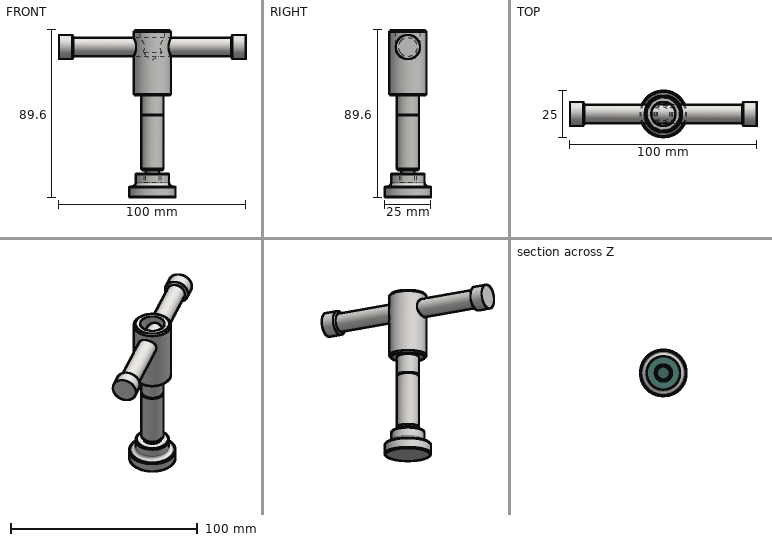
import cadquery as cq
import math

FOOT_RADIUS = 12.5
FOOT_COLLAR_RADIUS = 9.0
FOOT_RIM_HEIGHT = 6.0
FOOT_HEIGHT = 13.0
FOOT_FILLET = 2.0
FOOT_CHAMFER = 0.6

PIVOT_RADIUS = 3.6
PIVOT_DEPTH = 5.0
SOCKET_CLEARANCE = 0.9
FOOT_GAP = 1.5
SHANK_RADIUS = 6.0
SHANK_LENGTH = 40.1
SHANK_CHAMFER = 1.0
NECK_LENGTH = 10.0
GROOVE_WIDTH = 0.6
GROOVE_DEPTH = 0.1
HEAD_RADIUS = 10.0
HEAD_LENGTH = 35.0
HEAD_CHAMFER = 1.0
BORE_RADIUS = 6.5
BORE_DEPTH = 12.0
DRILL_POINT_ANGLE = 118.0

BAR_LENGTH = 100.0
BAR_RADIUS = 5.0
BAR_BELOW_TOP = 9.0
KNOB_RADIUS = 6.5
KNOB_LENGTH = 7.1
KNOB_TAPER_LENGTH = 0.8

shank_bottom = FOOT_HEIGHT + FOOT_GAP
head_bottom = shank_bottom + SHANK_LENGTH
head_top = head_bottom + HEAD_LENGTH
bar_height = head_top - BAR_BELOW_TOP
pivot_bottom = FOOT_HEIGHT - PIVOT_DEPTH


def rod_along_z(radius, bottom, top):
    return cq.Workplane("XY").workplane(offset=bottom).circle(radius).extrude(top - bottom)


def rod_along_x(radius, start, end):
    return (
        cq.Workplane("YZ", origin=(start, 0, bar_height))
        .circle(radius)
        .extrude(end - start)
    )


def make_foot():
    """Pad with a filleted collar and a clearance socket whose floor carries the pivot."""
    profile = (
        cq.Workplane("XZ")
        .lineTo(FOOT_RADIUS - FOOT_CHAMFER, 0)
        .lineTo(FOOT_RADIUS, FOOT_CHAMFER)
        .lineTo(FOOT_RADIUS, FOOT_RIM_HEIGHT - FOOT_CHAMFER)
        .lineTo(FOOT_RADIUS - FOOT_CHAMFER, FOOT_RIM_HEIGHT)
        .lineTo(FOOT_COLLAR_RADIUS + FOOT_FILLET, FOOT_RIM_HEIGHT)
        .radiusArc((FOOT_COLLAR_RADIUS, FOOT_RIM_HEIGHT + FOOT_FILLET), FOOT_FILLET)
        .lineTo(FOOT_COLLAR_RADIUS, FOOT_HEIGHT - FOOT_CHAMFER)
        .lineTo(FOOT_COLLAR_RADIUS - FOOT_CHAMFER, FOOT_HEIGHT)
        .lineTo(0, FOOT_HEIGHT)
        .close()
    )
    pad = profile.revolve(360, (0, 0), (0, 1))
    return pad.cut(rod_along_z(PIVOT_RADIUS + SOCKET_CLEARANCE, pivot_bottom, FOOT_HEIGHT))


def make_head_bore():
    """Blind bore from the top of the head, ending in a drill point."""
    bore_bottom = head_top - BORE_DEPTH
    point_depth = BORE_RADIUS / math.tan(math.radians(DRILL_POINT_ANGLE / 2))
    return (
        cq.Workplane("XZ")
        .moveTo(0, head_top)
        .lineTo(BORE_RADIUS, head_top)
        .lineTo(BORE_RADIUS, bore_bottom)
        .lineTo(0, bore_bottom - point_depth)
        .close()
        .revolve(360, (0, 0), (0, 1))
    )


def make_shank_groove():
    """Shallow ring that separates the plain neck from the rest of the shank."""
    groove_top = head_bottom - NECK_LENGTH
    return (
        cq.Workplane("XZ")
        .moveTo(SHANK_RADIUS, groove_top)
        .lineTo(SHANK_RADIUS - GROOVE_DEPTH, groove_top)
        .lineTo(SHANK_RADIUS - GROOVE_DEPTH, groove_top - GROOVE_WIDTH)
        .lineTo(SHANK_RADIUS, groove_top - GROOVE_WIDTH)
        .close()
        .revolve(360, (0, 0), (0, 1))
    )


def make_spindle():
    """Head with bore and cross hole, grooved shank, and pivot that enters the foot."""
    head = rod_along_z(HEAD_RADIUS, head_bottom, head_top).edges().chamfer(HEAD_CHAMFER)
    shank = rod_along_z(SHANK_RADIUS, shank_bottom, head_bottom).edges("<Z").chamfer(SHANK_CHAMFER)
    pivot = rod_along_z(PIVOT_RADIUS, pivot_bottom, shank_bottom)
    cross_hole = rod_along_x(BAR_RADIUS, -HEAD_RADIUS, HEAD_RADIUS)
    return (
        head.union(shank)
        .union(pivot)
        .cut(make_shank_groove())
        .cut(make_head_bore())
        .cut(cross_hole)
    )


def make_tommy_bar():
    """Rod with two equal knobs, each tapering down to the rod on its inner side."""
    half_length = BAR_LENGTH / 2
    knob_inner_end = half_length - KNOB_LENGTH
    taper_inner_end = knob_inner_end - KNOB_TAPER_LENGTH
    return (
        cq.Workplane("XZ", origin=(0, 0, bar_height))
        .moveTo(-half_length, 0)
        .lineTo(-half_length, KNOB_RADIUS)
        .lineTo(-knob_inner_end, KNOB_RADIUS)
        .lineTo(-taper_inner_end, BAR_RADIUS)
        .lineTo(taper_inner_end, BAR_RADIUS)
        .lineTo(knob_inner_end, KNOB_RADIUS)
        .lineTo(half_length, KNOB_RADIUS)
        .lineTo(half_length, 0)
        .close()
        .revolve(360, (0, 0), (1, 0))
    )


foot = make_foot()
spindle = make_spindle()
tommy_bar = make_tommy_bar()

result = cq.Compound.makeCompound([foot.val(), spindle.val(), tommy_bar.val()])